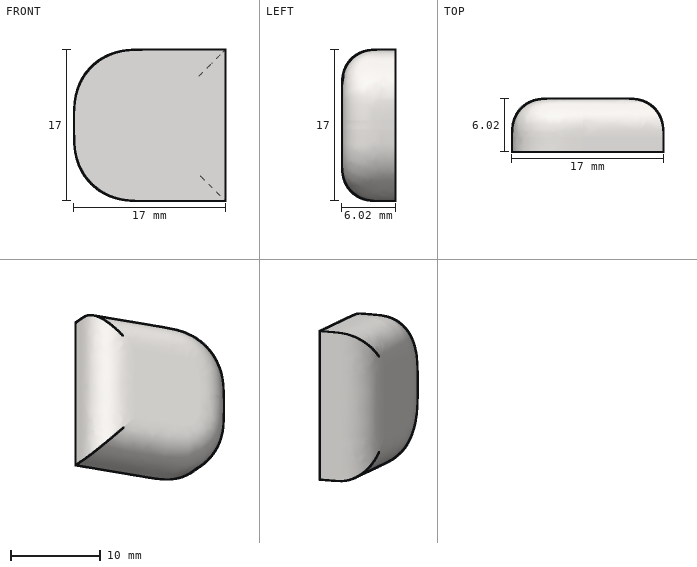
import cadquery as cq

side = 17.0
thickness = 6.02
band_height = 1.67
corner_size = 7.99
cut_margin = 0.34

edge_size = thickness - band_height
half = side / 2

first_handle = 0.64
second_handle = 0.36


def corner_points(start, corner, end):
    """Control points of a smooth curve that rounds a sharp corner."""
    def between(point, fraction):
        return tuple(c + fraction * (p - c) for c, p in zip(corner, point))

    fractions = (1.0, first_handle, second_handle)
    leaving = [between(start, fraction) for fraction in fractions]
    arriving = [between(end, fraction) for fraction in reversed(fractions)]
    return leaving + arriving


def outline_path(start_x):
    """U-shaped rim of the pad, open toward +X."""
    inner_x = -half + corner_size
    inner_z = half - corner_size
    upper = corner_points((inner_x, half), (-half, half), (-half, inner_z))
    lower = corner_points((-half, -inner_z), (-half, -half), (inner_x, -half))
    return (
        cq.Workplane("XZ")
        .moveTo(start_x, half)
        .lineTo(inner_x, half)
        .bezier(upper, includeCurrent=False)
        .lineTo(-half, -inner_z)
        .bezier(lower, includeCurrent=False)
        .lineTo(start_x, -half)
    )


def edge_cutter_profile(plane):
    """Waste outside the rounded back edge; local x points outward, local y along +Y."""
    curve = corner_points((0, band_height), (0, thickness), (-edge_size, thickness))
    return (
        cq.Workplane(plane)
        .moveTo(0, band_height)
        .bezier(curve, includeCurrent=False)
        .lineTo(-edge_size, thickness + cut_margin)
        .lineTo(cut_margin, thickness + cut_margin)
        .lineTo(cut_margin, band_height)
        .close()
    )


pad = outline_path(half).close().extrude(-thickness)

rim_start_x = half + cut_margin
rim_plane = cq.Plane(origin=(rim_start_x, 0, half), xDir=(0, 0, 1), normal=(-1, 0, 0))
rim_cutter = edge_cutter_profile(rim_plane).sweep(outline_path(rim_start_x))

end_plane = cq.Plane(origin=(half, 0, 0), xDir=(1, 0, 0), normal=(0, 0, 1))
end_cutter = edge_cutter_profile(end_plane).extrude(half + cut_margin, both=True)

result = pad.cut(rim_cutter).cut(end_cutter)